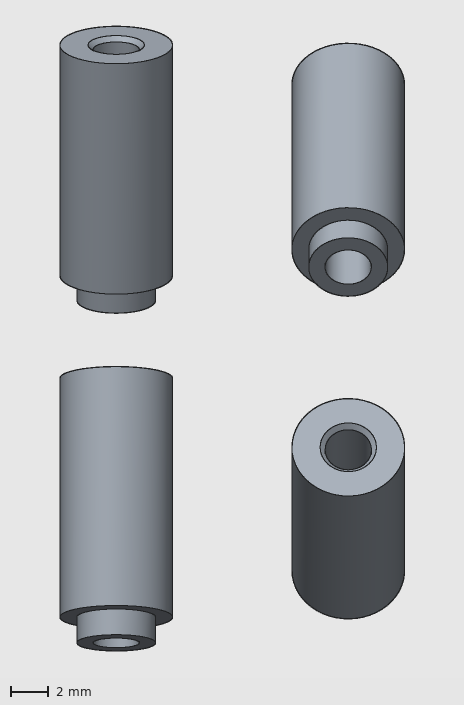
import cadquery as cq

total_height = 14.4
body_diameter = 6.0
spigot_diameter = 4.2
spigot_height = 1.4
body_height = total_height - spigot_height

bore_diameter = 2.46
countersink_diameter = 3.0
countersink_depth = (countersink_diameter - bore_diameter) / 2

spigot = cq.Workplane("XY").circle(spigot_diameter / 2).extrude(spigot_height)
body = (
    cq.Workplane("XY")
    .workplane(offset=spigot_height)
    .circle(body_diameter / 2)
    .extrude(body_height)
)

bore = cq.Workplane("XY").circle(bore_diameter / 2).extrude(total_height)
bored_spacer = spigot.union(body).cut(bore)

result = bored_spacer.faces(">Z").edges(cq.selectors.RadiusNthSelector(0)).chamfer(countersink_depth)